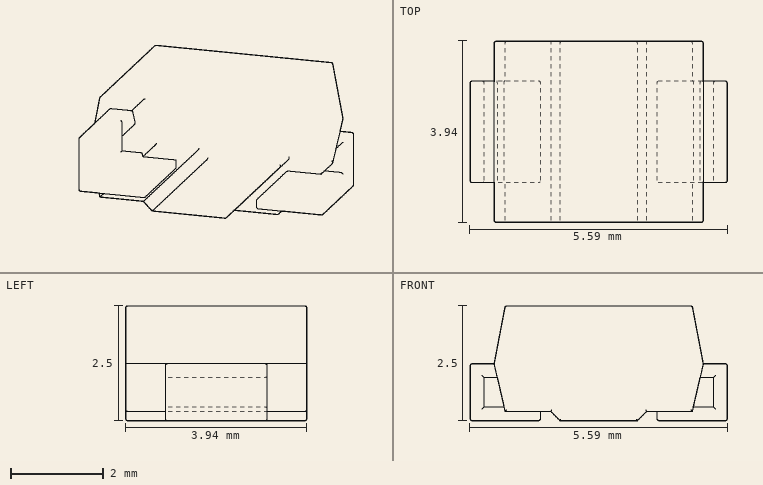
import cadquery as cq

body_width = 3.94
body_height = 2.5
waist_half_length = 2.275
waist_height = 1.24
end_half_length = 2.035
underside_height = 0.2
pad_root_half_length = 1.04
pad_half_length = 0.84

edge_radius = 0.05

overall_length = 5.59
lead_width = 2.215
lead_thickness = 0.3
foot_length = 1.53


def extrude_across(points, width):
    """Extrude an XZ outline symmetrically along Y."""
    return cq.Workplane("XZ").polyline(points).close().extrude(width / 2, both=True)


def make_body():
    right_side = [
        (end_half_length, body_height),
        (waist_half_length, waist_height),
        (end_half_length, underside_height),
        (pad_root_half_length, underside_height),
        (pad_half_length, 0),
    ]
    left_side = [(-x, z) for x, z in reversed(right_side)]
    body = extrude_across(right_side + left_side, body_width)
    return body.faces("<Y or >Y or >Z").edges().fillet(edge_radius)


def make_right_lead():
    outer_x = overall_length / 2
    inner_x = outer_x - lead_thickness
    foot_x = outer_x - foot_length
    buried_x = end_half_length
    outline = [
        (buried_x, waist_height),
        (outer_x, waist_height),
        (outer_x, 0),
        (foot_x, 0),
        (foot_x, lead_thickness),
        (inner_x, lead_thickness),
        (inner_x, waist_height - lead_thickness),
        (buried_x, waist_height - lead_thickness),
    ]
    lead = extrude_across(outline, lead_width)
    side_edges = lead.faces("<Y or >Y").edges()
    outer_bend_edges = lead.faces(">X or <Z").edges("|Y")
    return side_edges.add(outer_bend_edges).fillet(edge_radius)


right_lead = make_right_lead()
left_lead = right_lead.mirror("YZ")
result = make_body().union(right_lead).union(left_lead)